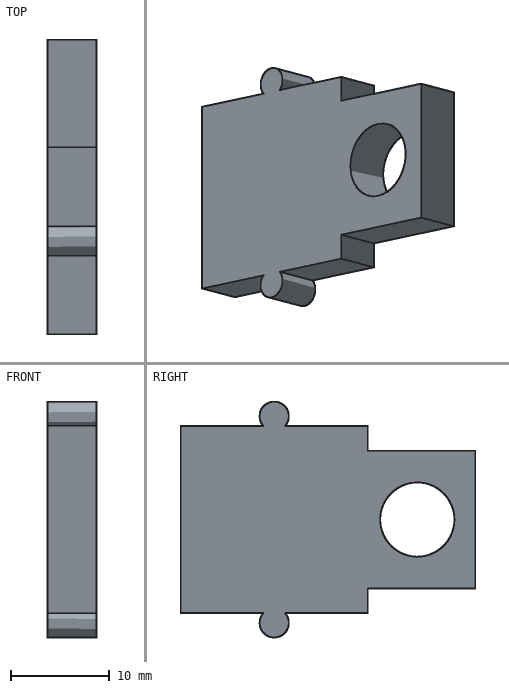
import cadquery as cq

thickness = 5.0
total_length = 29.9
body_length = 19.0
body_height = 19.0
tab_height = 14.0
hole_diameter = 7.5
hole_position = 24.0
pin_diameter = 3.0
overall_height = 23.95

pin_radius = pin_diameter / 2
pin_position = body_length / 2
pin_offset = overall_height / 2 - pin_radius

profile_plane = cq.Workplane("YZ")


def plate(length, height):
    """Plate starting at Y = 0, centred on mid-height."""
    return profile_plane.rect(length, height).extrude(thickness).translate((0, length / 2, 0))


def cylinder(diameter, y, z):
    """Cylinder through the full thickness."""
    return profile_plane.center(y, z).circle(diameter / 2).extrude(thickness)


result = plate(body_length, body_height).union(plate(total_length, tab_height))

for side in (1, -1):
    result = result.union(cylinder(pin_diameter, pin_position, side * pin_offset))

result = result.cut(cylinder(hole_diameter, hole_position, 0))